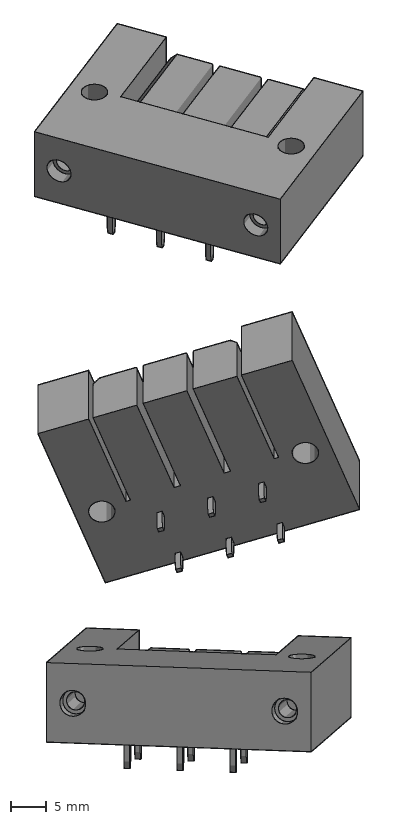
import cadquery as cq

pitch = 7.62
contact_count = 3
arm_count = 2
housing_width = (contact_count + arm_count) * pitch
housing_depth = 28.0
housing_height = 11.4
front_y = -housing_depth / 2
rear_y = housing_depth / 2

opening_width = contact_count * pitch
opening_depth = 15.45
opening_front_y = rear_y - opening_depth

tongue_width = 6.55
tongue_drop = 2.5
tongue_top = housing_height - tongue_drop
tongue_gap = 0.95
tongue_fillet = 0.25
outer_chamfer = 1.0

hole_diameter = 3.7
hole_spacing = housing_width - pitch
vertical_hole_y = front_y + 12.0
front_hole_depth = 2.0
front_pilot_diameter = 2.6
front_pilot_depth = 8.0

pin_width = 0.8
pin_depth = 1.0
pin_length = 3.5
pin_tip_length = 1.0
pin_tip_depth = 0.6
front_pin_y = front_y + 1.06
pin_rows = 2


def centred_place(index, spacing):
    """X of one of the contact positions, spaced evenly about the housing centre."""
    return (index - (contact_count - 1) / 2) * spacing


def make_tongue(index):
    """A tongue along Y; edges beside a housing arm are chamfered, edges between tongues rounded."""
    centre_x = centred_place(index, tongue_width + tongue_gap)
    tongue = cq.Workplane("XY", origin=(centre_x, opening_front_y, 0)).box(
        tongue_width, opening_depth, tongue_top, centered=(True, False, False)
    )
    for side, outer_index in (("<X", 0), (">X", contact_count - 1)):
        edge = tongue.faces(side).edges(">Z")
        if index == outer_index:
            tongue = edge.chamfer(outer_chamfer)
        else:
            tongue = edge.fillet(tongue_fillet)
    return tongue


def front_bore(diameter, depth):
    """A pair of blind cylinders running back from the front face."""
    return (
        cq.Workplane("XZ", origin=(0, front_y, housing_height / 2))
        .rarray(hole_spacing, 1, arm_count, 1)
        .circle(diameter / 2)
        .extrude(-depth)
    )


def make_housing():
    """Block with a rear opening, tongues, vertical holes and stepped front holes."""
    body = cq.Workplane("XY").box(
        housing_width, housing_depth, housing_height, centered=(True, True, False)
    )
    opening = (
        cq.Workplane("XY", origin=(0, opening_front_y, 0))
        .box(opening_width, opening_depth, housing_height, centered=(True, False, False))
    )
    body = body.cut(opening)
    for index in range(contact_count):
        body = body.union(make_tongue(index))
    vertical_holes = (
        cq.Workplane("XY", origin=(0, vertical_hole_y, 0))
        .rarray(hole_spacing, 1, arm_count, 1)
        .circle(hole_diameter / 2)
        .extrude(housing_height)
    )
    body = body.cut(vertical_holes)
    body = body.cut(front_bore(hole_diameter, front_hole_depth))
    return body.cut(front_bore(front_pilot_diameter, front_pilot_depth))


def make_pin(x, y):
    """A flat pin below the housing, its tip tapered in Y."""
    shoulder_z = pin_tip_length - pin_length
    return (
        cq.Workplane("YZ", origin=(x, y, 0))
        .moveTo(-pin_depth / 2, 0)
        .lineTo(-pin_depth / 2, shoulder_z)
        .lineTo(-pin_tip_depth / 2, -pin_length)
        .lineTo(pin_tip_depth / 2, -pin_length)
        .lineTo(pin_depth / 2, shoulder_z)
        .lineTo(pin_depth / 2, 0)
        .close()
        .extrude(pin_width / 2, both=True)
    )


housing = make_housing()
pins = []
for row in range(pin_rows):
    for index in range(contact_count):
        pin = make_pin(centred_place(index, pitch), front_pin_y + row * pitch)
        pins.append(pin.val())

result = cq.Compound.makeCompound([housing.val(), *pins])